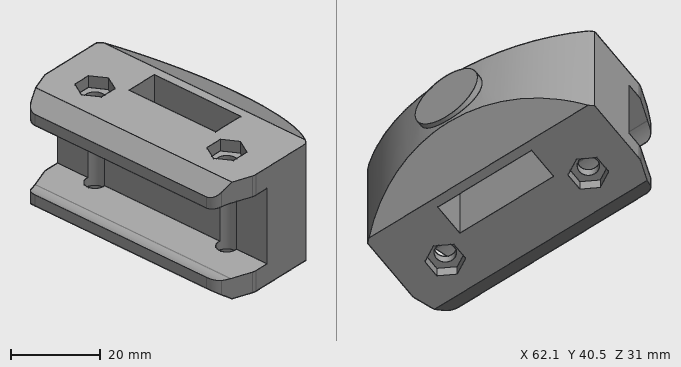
import cadquery as cq
import math

width = 62.1
height = 31.0
depth = 40.5
crown_y = 39.5
back_corner_y = 27.15
taper_start_y = 9.75
taper_angle = 20.0
corner_radius = 3.0

front_bevel_y = 4.4
front_bevel_drop = 3.35
back_bevel_y = 28.1
back_bevel_drop = 6.0

slot_height = 20.0
slot_end_y = 14.0
lip_start_y = 4.1
lip_rise = 0.8

window_width = 25.65
window_depth = 8.45
window_y = 21.6
bolt_spacing = 39.1
bolt_y = 13.55
bolt_diameter = 4.95
nut_across_flats = 7.9
nut_pocket_depth = 3.1

boss_diameter = 17.0

half_width = width / 2
half_height = height / 2


def make_plan_body():
    """Upright block with a curved back and rounded, tapered front corners."""
    front_half_width = half_width - taper_start_y * math.tan(math.radians(taper_angle))
    body = (
        cq.Workplane("XY", origin=(0, 0, -half_height))
        .moveTo(-front_half_width, 0)
        .lineTo(front_half_width, 0)
        .lineTo(half_width, taper_start_y)
        .lineTo(half_width, back_corner_y)
        .threePointArc((0, crown_y), (-half_width, back_corner_y))
        .lineTo(-half_width, taper_start_y)
        .close()
        .extrude(height)
    )
    front_corners = cq.selectors.BoxSelector(
        (-width, -0.6, -height), (width, taper_start_y + 0.6, height)
    )
    return body.edges("|Z").edges(front_corners).fillet(corner_radius)


def make_side_profile():
    """Side silhouette in the YZ plane, extruded across the width."""
    front_z = half_height - front_bevel_drop
    crown_z = half_height - back_bevel_drop
    outline = [
        (0, -front_z),
        (front_bevel_y, -half_height),
        (back_bevel_y, -half_height),
        (crown_y, -crown_z),
        (crown_y, crown_z),
        (back_bevel_y, half_height),
        (front_bevel_y, half_height),
        (0, front_z),
    ]
    return cq.Workplane("YZ").polyline(outline).close().extrude(half_width, both=True)


def make_slot():
    """Front slot whose walls curve inward, tangentially, at the mouth."""
    wall_z = slot_height / 2
    mouth_z = wall_z - lip_rise
    lip_radius = (lip_start_y**2 + lip_rise**2) / (2 * lip_rise)
    return (
        cq.Workplane("YZ")
        .moveTo(slot_end_y, -wall_z)
        .lineTo(slot_end_y, wall_z)
        .lineTo(lip_start_y, wall_z)
        .radiusArc((0, mouth_z), -lip_radius)
        .lineTo(0, -mouth_z)
        .radiusArc((lip_start_y, -wall_z), -lip_radius)
        .close()
        .extrude(half_width, both=True)
    )


def make_window():
    return cq.Workplane("XY").center(0, window_y).box(window_width, window_depth, height)


def make_bolt_cut(x):
    """Through hole with hexagonal pockets in the top and bottom faces."""
    hole = (
        cq.Workplane("XY", origin=(x, bolt_y, -half_height))
        .circle(bolt_diameter / 2)
        .extrude(height)
    )
    nut_across_corners = nut_across_flats / math.cos(math.radians(30))
    top_pocket = (
        cq.Workplane("XY", origin=(x, bolt_y, half_height - nut_pocket_depth))
        .transformed(rotate=(0, 0, 30))
        .polygon(6, nut_across_corners)
        .extrude(nut_pocket_depth)
    )
    bottom_pocket = top_pocket.mirror("XY")
    return hole.union(top_pocket).union(bottom_pocket)


def make_boss():
    """Round boss standing out of the curved back."""
    return (
        cq.Workplane("XZ", origin=(0, depth, 0))
        .circle(boss_diameter / 2)
        .extrude(depth - back_bevel_y)
    )


result = make_plan_body().intersect(make_side_profile())
result = result.union(make_boss())
result = result.cut(make_slot()).cut(make_window())
for bolt_x in (-bolt_spacing / 2, bolt_spacing / 2):
    result = result.cut(make_bolt_cut(bolt_x))